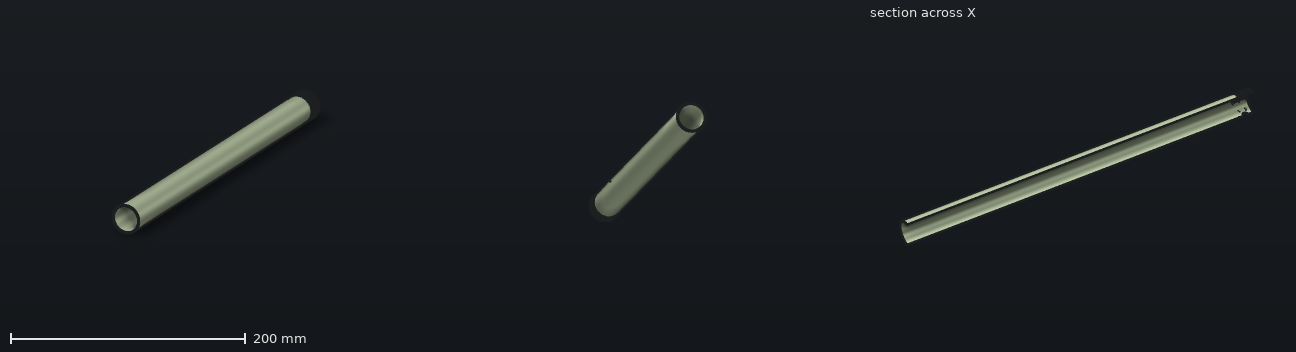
import cadquery as cq
import math

tube_length = 335.0
outer_radius = 12.9
wall_thickness = 1.5
bore_radius = outer_radius - wall_thickness

band_length = 15.0
row_count = 7
row_pitch = 2.1
dimples_per_row = 40
dimple_diameter = 1.4
dimple_depth = 0.4

cross_hole_diameter = 5.0
band_center_y = tube_length - band_length / 2

clearance = 1.0

x_axis = cq.Vector(1, 0, 0)
y_axis = cq.Vector(0, 1, 0)
z_axis = cq.Vector(0, 0, 1)
origin = cq.Vector(0, 0, 0)


def make_tube():
    outside = cq.Solid.makeCylinder(outer_radius, tube_length, origin, y_axis)
    bore = cq.Solid.makeCylinder(bore_radius, tube_length, origin, y_axis)
    return outside.cut(bore)


def make_cross_hole():
    reach = outer_radius + clearance
    start = y_axis * band_center_y - z_axis * reach
    return cq.Solid.makeCylinder(cross_hole_diameter / 2, 2 * reach, start, z_axis)


def meets_cross_hole(angle, y):
    """True if a dimple at this angle from +Z would break into the cross hole."""
    faces_up_or_down = abs(math.cos(angle)) > abs(math.sin(angle))
    distance = math.hypot(outer_radius * math.sin(angle), y - band_center_y)
    return faces_up_or_down and distance < (cross_hole_diameter + dimple_diameter) / 2


def make_dimple(angle, y):
    outward = x_axis * math.sin(angle) + z_axis * math.cos(angle)
    floor_center = y_axis * y + outward * (outer_radius - dimple_depth)
    return cq.Solid.makeCylinder(dimple_diameter / 2, dimple_depth + clearance, floor_center, outward)


def make_dimples():
    dimples = []
    first_row_y = band_center_y - row_pitch * (row_count - 1) / 2
    for row in range(row_count):
        y = first_row_y + row * row_pitch
        for index in range(dimples_per_row):
            angle = 2 * math.pi * (index + 0.5) / dimples_per_row
            if not meets_cross_hole(angle, y):
                dimples.append(make_dimple(angle, y))
    return dimples


tube = make_tube()
result = cq.Workplane(obj=tube.cut(make_cross_hole(), *make_dimples()))